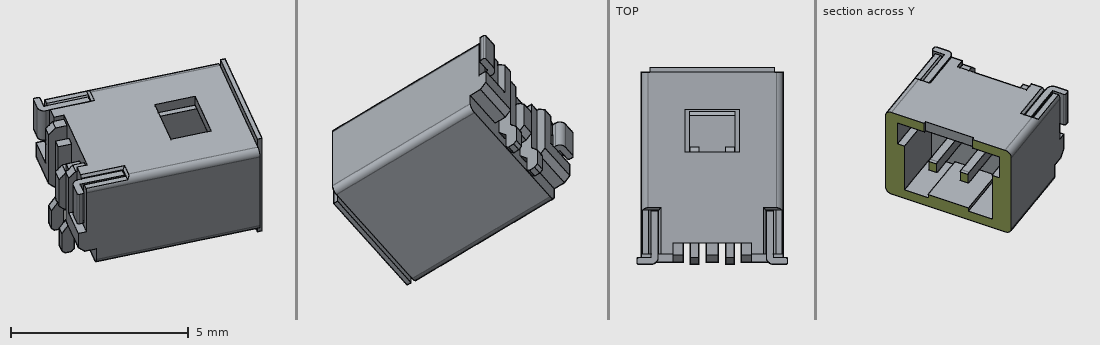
import cadquery as cq


TOTAL_WIDTH = 4.24
TOTAL_LENGTH = 5.54
TOTAL_HEIGHT = 3.85

COVER_SIDE = 3.5
COVER_THICKNESS = 0.14

HOUSING_WIDTH = 4.0
HOUSING_HEIGHT = 2.99
CORNER_RADIUS = 0.2
HOUSING_FRONT_Y = TOTAL_LENGTH - COVER_THICKNESS
HOUSING_BACK_Y = 0.6
HOUSING_HALF_WIDTH = HOUSING_WIDTH / 2
HOUSING_TOP_Z = HOUSING_HEIGHT / 2

TOP_WALL = 0.33
WINDOW_WIDTH = 1.525
WINDOW_BACK_Y = 3.165
WINDOW_FRONT_Y = 4.35

CAVITY_WIDTH = 2.77
CAVITY_UPPER_WIDTH = 3.215
CAVITY_BACK_Y = 1.605
SHELF_Z = 0.425
CEILING_Z = HOUSING_TOP_Z - TOP_WALL
FLOOR_Z = -CEILING_Z

PLATFORM_WIDTH = 1.285
PLATFORM_HEIGHT = 0.11
PLATFORM_FRONT_Y = 4.3

REAR_Y = 0.055
REAR_BOTTOM_Z = -0.9
REAR_BOTTOM_CHAMFER = 0.19
REAR_TOP_CHAMFER = 0.205
GUARD_INNER_X = 0.815
GUARD_TOP_Z = 1.34
BLOCK_INNER_X = 1.095
BLOCK_BACK_Y = 0.3
LEDGE_Z = -0.17
RIB_WIDTH = 0.35
RIB_TOP_Z = 0.5

CONTACT_PITCH = 0.995
CONTACT_WIDTH = 0.25
CONTACT_TOP_Z = 1.025
CONTACT_BOTTOM_Z = COVER_SIDE / 2 - TOTAL_HEIGHT
STEM_BACK_Y = 0.2
BEND_OUTER_TOP_Z = -1.065
BEND_OUTER_BOTTOM_Z = -1.345
BEND_INNER_TOP_Z = -1.13
BEND_INNER_BOTTOM_Z = -1.435
TAIL_THICKNESS = 0.365
TAIL_CHAMFER = 0.095
ARM_TIP_Y = 3.3
ARM_HEIGHT = 0.365
ARM_TIP_RADIUS = 0.14

CLIP_OUTER_X = TOTAL_WIDTH / 2
CLIP_INNER_X = 1.52
CLIP_THICKNESS = 0.2
CLIP_FRONT_Y = 1.505
CLIP_TOP_Z = 1.405
CLIP_BOTTOM_Z = 0.295
CLIP_END_RADIUS = 0.055
CLIP_ARM_OUTER_X = CLIP_INNER_X + CLIP_THICKNESS

RECESS_DEPTH = 0.07
RECESS_INNER_X = 1.505
RECESS_FRONT_Y = 1.525
SLOT_FLOOR_Z = 0.905


def box(x_range, y_range, z_range):
    """Box spanning the three given (low, high) ranges."""
    lows, highs = zip(x_range, y_range, z_range)
    size = [high - low for low, high in zip(lows, highs)]
    return cq.Workplane("XY").box(*size, centered=False).translate(lows)


def side_profile(points, x_low, width):
    """Extrude a closed (y, z) outline along +X from x_low."""
    return cq.Workplane("YZ", origin=(x_low, 0, 0)).polyline(points).close().extrude(width)


def mirrored_pair(shape):
    """The shape and its mirror image across X = 0."""
    return [shape, shape.mirror("YZ")]


def make_shell():
    length = HOUSING_FRONT_Y - HOUSING_BACK_Y
    return (
        cq.Workplane("XZ", origin=(0, HOUSING_FRONT_Y, 0))
        .rect(HOUSING_WIDTH, HOUSING_HEIGHT)
        .extrude(length)
        .edges("|Y")
        .fillet(CORNER_RADIUS)
    )


def make_cavity():
    depth_range = (CAVITY_BACK_Y, HOUSING_FRONT_Y)
    half = CAVITY_WIDTH / 2
    upper_half = CAVITY_UPPER_WIDTH / 2
    main = box((-half, half), depth_range, (FLOOR_Z, CEILING_Z))
    upper = box((-upper_half, upper_half), depth_range, (SHELF_Z, CEILING_Z))
    return main.union(upper)


def make_window():
    half = WINDOW_WIDTH / 2
    return box((-half, half), (WINDOW_BACK_Y, WINDOW_FRONT_Y), (CEILING_Z, HOUSING_TOP_Z))


def make_platform():
    top_z = FLOOR_Z + PLATFORM_HEIGHT
    outline = [
        (CAVITY_BACK_Y, FLOOR_Z),
        (PLATFORM_FRONT_Y, FLOOR_Z),
        (PLATFORM_FRONT_Y - PLATFORM_HEIGHT, top_z),
        (CAVITY_BACK_Y, top_z),
    ]
    return side_profile(outline, -PLATFORM_WIDTH / 2, PLATFORM_WIDTH)


def rear_ledge_outline(top_z):
    """(y, z) outline of a rear projection with its lower edge chamfered."""
    return [
        (HOUSING_BACK_Y, top_z),
        (HOUSING_BACK_Y, REAR_BOTTOM_Z),
        (REAR_Y + REAR_BOTTOM_CHAMFER, REAR_BOTTOM_Z),
        (REAR_Y, REAR_BOTTOM_Z + REAR_BOTTOM_CHAMFER),
        (REAR_Y, top_z),
    ]


def rear_post(x_low, width, top_z):
    """Upright on the rear face with both of its rear edges chamfered."""
    post = side_profile(rear_ledge_outline(top_z), x_low, width)
    return post.faces("<Y").edges(">Z").chamfer(REAR_TOP_CHAMFER)


def make_guard_wall():
    """Rear wall on the -X side: an upright, a low ledge, and a block up to the housing top."""
    upright = rear_post(-BLOCK_INNER_X, BLOCK_INNER_X - GUARD_INNER_X, GUARD_TOP_Z)
    outer_width = HOUSING_HALF_WIDTH - BLOCK_INNER_X
    ledge = side_profile(rear_ledge_outline(LEDGE_Z), -HOUSING_HALF_WIDTH, outer_width)
    block = (
        box(
            (-HOUSING_HALF_WIDTH, -BLOCK_INNER_X),
            (BLOCK_BACK_Y, HOUSING_BACK_Y),
            (LEDGE_Z, HOUSING_TOP_Z),
        )
        .edges("|Y and >Z and <X")
        .fillet(CORNER_RADIUS)
    )
    return upright.union(ledge).union(block)


def rect_loft(lower, upper, z_low, z_high):
    """Solid between two rectangles, each given as (x_low, x_high, y_low, y_high)."""
    wires = []
    for (x_low, x_high, y_low, y_high), z in ((lower, z_low), (upper, z_high)):
        corners = [(x_low, y_low, z), (x_high, y_low, z), (x_high, y_high, z), (x_low, y_high, z)]
        wires.append(cq.Wire.makePolygon([cq.Vector(*corner) for corner in corners], close=True))
    return cq.Workplane(obj=cq.Solid.makeLoft(wires, True))


def make_clip_recess():
    """Shallow recess with sloped sides around the -X clip, with a narrow slot for its arm."""
    recess_z = HOUSING_TOP_Z - RECESS_DEPTH
    lower = (-HOUSING_HALF_WIDTH, -RECESS_INNER_X, REAR_Y, RECESS_FRONT_Y)
    upper = (
        -HOUSING_HALF_WIDTH,
        -RECESS_INNER_X + RECESS_DEPTH,
        REAR_Y,
        RECESS_FRONT_Y + RECESS_DEPTH,
    )
    recess = rect_loft(lower, upper, recess_z, HOUSING_TOP_Z)
    slot = box(
        (-CLIP_ARM_OUTER_X, -RECESS_INNER_X),
        (REAR_Y, RECESS_FRONT_Y),
        (SLOT_FLOOR_Z, recess_z),
    )
    lower = (-CLIP_ARM_OUTER_X, -RECESS_INNER_X, REAR_Y, RECESS_FRONT_Y)
    upper = (-CLIP_ARM_OUTER_X - RECESS_DEPTH, -RECESS_INNER_X, REAR_Y, RECESS_FRONT_Y)
    outer_slope = rect_loft(lower, upper, recess_z - RECESS_DEPTH, recess_z)
    return recess.union(slot).union(outer_slope)


def make_contact(x_centre):
    tail_tip_z = CONTACT_BOTTOM_Z + TAIL_CHAMFER
    tail_outline = [
        (HOUSING_BACK_Y, CONTACT_TOP_Z),
        (STEM_BACK_Y, CONTACT_TOP_Z),
        (STEM_BACK_Y, BEND_OUTER_TOP_Z),
        (0, BEND_OUTER_BOTTOM_Z),
        (0, tail_tip_z),
        (TAIL_CHAMFER, CONTACT_BOTTOM_Z),
        (TAIL_THICKNESS - TAIL_CHAMFER, CONTACT_BOTTOM_Z),
        (TAIL_THICKNESS, tail_tip_z),
        (TAIL_THICKNESS, BEND_INNER_BOTTOM_Z),
        (HOUSING_BACK_Y, BEND_INNER_TOP_Z),
    ]
    x_low = x_centre - CONTACT_WIDTH / 2
    tail = side_profile(tail_outline, x_low, CONTACT_WIDTH)
    arm = (
        box(
            (x_low, x_low + CONTACT_WIDTH),
            (HOUSING_BACK_Y, ARM_TIP_Y),
            (-ARM_HEIGHT / 2, ARM_HEIGHT / 2),
        )
        .faces(">Y")
        .edges("|X")
        .fillet(ARM_TIP_RADIUS)
    )
    return tail.union(arm)


def make_clip():
    """Hold-down clip on the -X side, an L in plan with a rounded bend and foot end."""
    clip = (
        cq.Workplane("XY", origin=(0, 0, CLIP_BOTTOM_Z))
        .moveTo(-CLIP_OUTER_X, 0)
        .lineTo(-CLIP_ARM_OUTER_X, 0)
        .radiusArc((-CLIP_INNER_X, CLIP_THICKNESS), -CLIP_THICKNESS)
        .lineTo(-CLIP_INNER_X, CLIP_FRONT_Y)
        .lineTo(-CLIP_ARM_OUTER_X, CLIP_FRONT_Y)
        .lineTo(-CLIP_ARM_OUTER_X, CLIP_THICKNESS)
        .lineTo(-CLIP_OUTER_X, CLIP_THICKNESS)
        .close()
        .extrude(CLIP_TOP_Z - CLIP_BOTTOM_Z)
    )
    return clip.edges("|Z and <X").fillet(CLIP_END_RADIUS)


def make_connector():
    """Housing with its rear walls, contacts and clips as one solid."""
    body = make_shell().cut(make_cavity()).cut(make_window())
    body = body.union(make_platform())
    for guard in mirrored_pair(make_guard_wall()):
        body = body.union(guard)
    body = body.union(rear_post(-RIB_WIDTH / 2, RIB_WIDTH, RIB_TOP_Z))
    for recess in mirrored_pair(make_clip_recess()):
        body = body.cut(recess)
    for side in (-1, 1):
        body = body.union(make_contact(side * CONTACT_PITCH / 2))
    for clip in mirrored_pair(make_clip()):
        body = body.union(clip)
    return body


def make_cover_plate():
    half = COVER_SIDE / 2
    return box((-half, half), (HOUSING_FRONT_Y, TOTAL_LENGTH), (-half, half))


connector = make_connector()
cover_plate = make_cover_plate()

result = cq.Compound.makeCompound([connector.val(), cover_plate.val()])